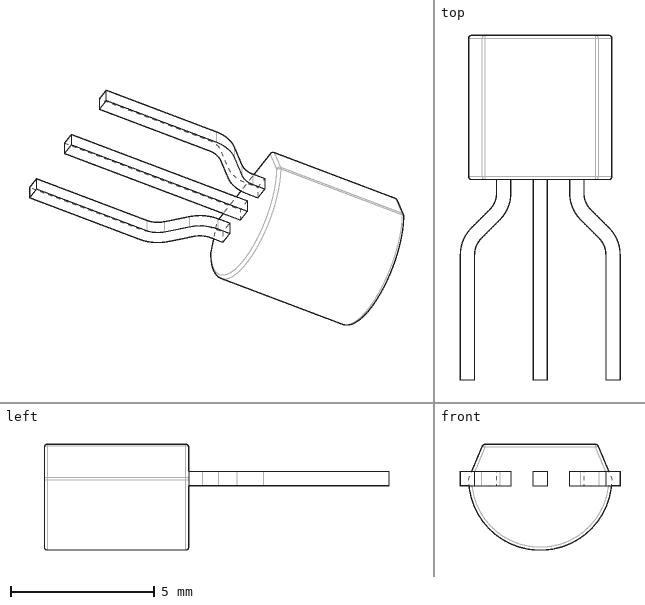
import cadquery as cq
import math

overall_length = 12.02
body_length = 5.04
body_radius = 2.5
flat_height = 1.2
flat_half_width = 2.0
edge_radius = 0.11
shoulder_radius = 0.24

overall_width = 5.58
lead_size = 0.5
lead_length = overall_length - body_length
root_pitch = 1.27
tip_pitch = (overall_width - lead_size) / 2
root_straight = 0.47
bend_radius = 1.06
bend_angle = math.radians(45)


def make_body():
    profile = (
        cq.Workplane("XZ")
        .moveTo(-body_radius, 0)
        .lineTo(-flat_half_width, flat_height)
        .lineTo(flat_half_width, flat_height)
        .lineTo(body_radius, 0)
        .threePointArc((0, -body_radius), (-body_radius, 0))
        .close()
    )
    body = profile.extrude(-body_length)
    body = body.edges("|Y").edges("<Z").fillet(shoulder_radius)
    body = body.edges("|Y").edges(">Z").fillet(edge_radius)
    return body.faces("<Y or >Y").edges().fillet(edge_radius)


def make_straight_lead():
    return cq.Workplane("XY").box(
        lead_size, lead_length, lead_size, centered=(True, False, True)
    ).translate((0, -lead_length, 0))


def make_bent_lead():
    """Lead on the +X side: straight, bent outward, then bent back parallel."""
    bend_x = bend_radius * (1 - math.cos(bend_angle))
    bend_y = bend_radius * math.sin(bend_angle)
    half_bend_x = bend_radius * (1 - math.cos(bend_angle / 2))
    half_bend_y = bend_radius * math.sin(bend_angle / 2)
    slope_x = tip_pitch - root_pitch - 2 * bend_x
    slope_y = slope_x / math.tan(bend_angle)

    slope_start = (root_pitch + bend_x, -root_straight - bend_y)
    slope_end = (slope_start[0] + slope_x, slope_start[1] - slope_y)
    bend_end = (tip_pitch, slope_end[1] - bend_y)
    path = (
        cq.Workplane("XY")
        .moveTo(root_pitch, 0)
        .lineTo(root_pitch, -root_straight)
        .threePointArc((root_pitch + half_bend_x, -root_straight - half_bend_y), slope_start)
        .lineTo(*slope_end)
        .threePointArc((tip_pitch - half_bend_x, bend_end[1] + half_bend_y), bend_end)
        .lineTo(tip_pitch, -lead_length)
    )
    section = cq.Workplane("XZ").center(root_pitch, 0).rect(lead_size, lead_size)
    return section.sweep(path)


outer_lead = make_bent_lead()
result = (
    make_body()
    .union(make_straight_lead())
    .union(outer_lead)
    .union(outer_lead.mirror("YZ"))
)